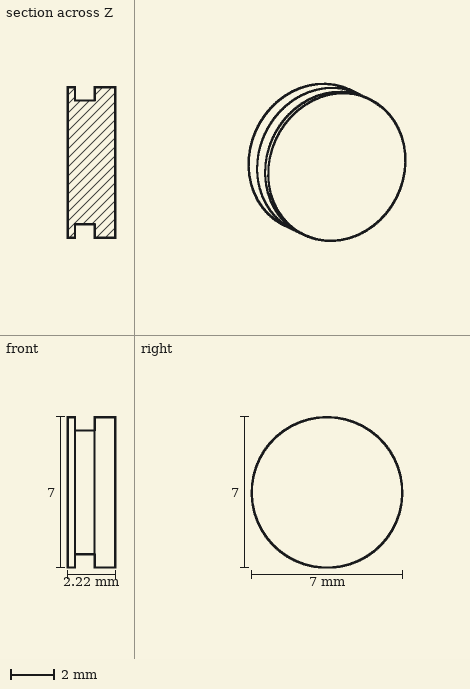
import cadquery as cq

disc_diameter = 7.0
disc_thickness = 2.22

groove_floor_diameter = 5.75
groove_width = 0.9
thin_flange_thickness = 0.35

disc_radius = disc_diameter / 2
groove_floor_radius = groove_floor_diameter / 2
groove_start = thin_flange_thickness
groove_end = groove_start + groove_width


def grooved_disc():
    """Revolve the half section, drawn in the XZ plane, about the X axis."""
    half_section = (
        cq.Workplane("XZ")
        .moveTo(0, 0)
        .lineTo(0, disc_radius)
        .lineTo(groove_start, disc_radius)
        .lineTo(groove_start, groove_floor_radius)
        .lineTo(groove_end, groove_floor_radius)
        .lineTo(groove_end, disc_radius)
        .lineTo(disc_thickness, disc_radius)
        .lineTo(disc_thickness, 0)
        .close()
    )
    return half_section.revolve(360, (0, 0, 0), (1, 0, 0))


result = grooved_disc()